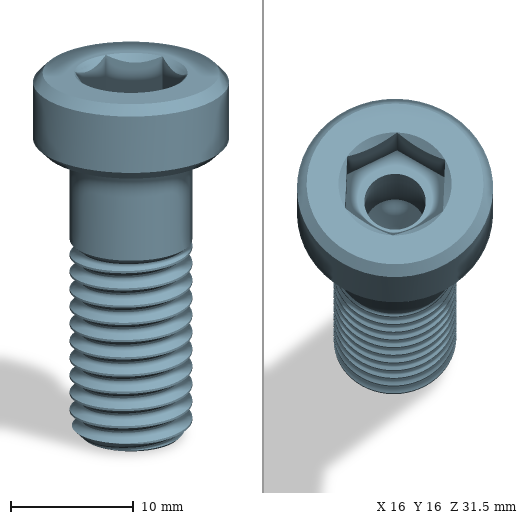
import cadquery as cq
import math

total_length = 31.5
head_diameter = 16.0
head_height = 6.5
head_chamfer = 0.8
shank_diameter = 10.02
plain_shank_length = 8.0

socket_across_flats = 8.0
socket_depth = 3.5
pilot_diameter = 5.0
pilot_depth = socket_depth + pilot_diameter
drill_point_angle = 118.0

pitch = 0.15 * shank_diameter
crest_flat = pitch / 8
root_flat = pitch / 8
flank_angle = 30.0
runout_angle = 40.0
root_overlap = 0.05
end_chamfer = 1.0
ridge_end_gap = 0.03

flank_slope = math.tan(math.radians(flank_angle))
head_radius = head_diameter / 2
shank_radius = shank_diameter / 2
underhead_z = total_length - head_height
thread_top = underhead_z - plain_shank_length
thread_depth = (pitch - crest_flat - root_flat) / (2 * flank_slope)
core_radius = shank_radius - thread_depth
runout_length = thread_depth * math.tan(math.radians(runout_angle))


def make_head():
    """Cylindrical head, chamfered on both rims."""
    head = cq.Workplane("XY").workplane(offset=underhead_z).circle(head_radius).extrude(head_height)
    return head.faces("<Z or >Z").edges().chamfer(head_chamfer)


def make_plain_shank():
    """Plain shank, tapering down to the thread core."""
    return (
        cq.Workplane("XZ")
        .moveTo(0, thread_top - runout_length)
        .lineTo(core_radius, thread_top - runout_length)
        .lineTo(shank_radius, thread_top)
        .lineTo(shank_radius, underhead_z)
        .lineTo(0, underhead_z)
        .close()
        .revolve(360, (0, 0, 0), (0, 1, 0))
    )


def make_thread():
    """Threaded rod whose crest runs out into the plain shank on the -X side."""
    turns_below_top = math.ceil(thread_top / pitch) + 1
    turns_above_top = 2
    helix_start = thread_top - turns_below_top * pitch
    helix_length = (turns_below_top + turns_above_top) * pitch
    helix = cq.Wire.makeHelix(pitch, helix_length, shank_radius)
    inner_radius = core_radius - root_overlap
    inner_half = (pitch - root_flat) / 2 + root_overlap * flank_slope
    crest_half = crest_flat / 2
    ridge = (
        cq.Workplane("XZ")
        .polyline([
            (inner_radius, -inner_half),
            (shank_radius, -crest_half),
            (shank_radius, crest_half),
            (inner_radius, inner_half),
        ])
        .close()
        .sweep(cq.Workplane(obj=helix), isFrenet=True)
        .rotate((0, 0, 0), (0, 0, 1), 180)
        .translate((0, 0, helix_start))
    )
    core = (
        cq.Workplane("XY")
        .workplane(offset=helix_start - pitch)
        .circle(core_radius)
        .extrude(helix_length + 2 * pitch)
    )
    end_radius = shank_radius - end_chamfer
    ridge_top = thread_top - ridge_end_gap
    envelope = cq.Workplane(cq.Solid.makeCone(end_radius, end_radius + ridge_top, ridge_top))
    return core.union(ridge).intersect(envelope)


def make_socket():
    """Hexagon with corners on +Y and -Y, countersunk out to its corners."""
    corner_diameter = socket_across_flats / math.cos(math.pi / 6)
    corner_radius = corner_diameter / 2
    hexagon = (
        cq.Workplane("XY")
        .workplane(offset=total_length - socket_depth)
        .polygon(6, corner_diameter)
        .extrude(socket_depth)
        .rotate((0, 0, 0), (0, 0, 1), 30)
    )
    cone_tip = cq.Vector(0, 0, total_length - corner_radius)
    cone = cq.Workplane(cq.Solid.makeCone(0, corner_radius, corner_radius, pnt=cone_tip))
    socket_space = (
        cq.Workplane("XY")
        .workplane(offset=total_length - socket_depth)
        .circle(corner_radius)
        .extrude(socket_depth)
    )
    return hexagon.union(cone.intersect(socket_space))


def make_pilot_hole():
    """Blind hole below the socket, ending in a drill point."""
    pilot_radius = pilot_diameter / 2
    point_height = pilot_radius / math.tan(math.radians(drill_point_angle / 2))
    shoulder_z = total_length - pilot_depth
    return (
        cq.Workplane("XZ")
        .moveTo(0, shoulder_z - point_height)
        .lineTo(pilot_radius, shoulder_z)
        .lineTo(pilot_radius, total_length)
        .lineTo(0, total_length)
        .close()
        .revolve(360, (0, 0, 0), (0, 1, 0))
    )


blank = make_head().union(make_plain_shank()).union(make_thread())
result = blank.cut(make_socket()).cut(make_pilot_hole())